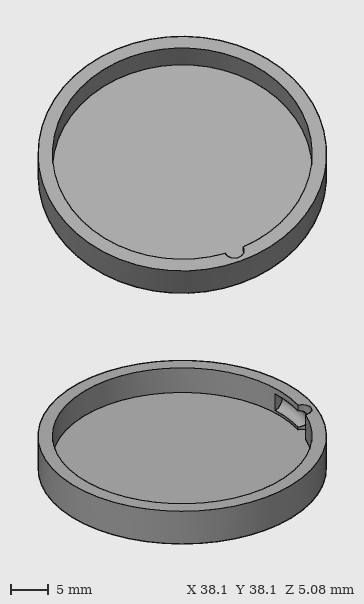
import cadquery as cq

outer_diameter = 38.1
total_height = 5.08
recess_diameter = 34.29
floor_thickness = 1.27

slot_radius = 1.27
groove_floor_gap = 0.381
groove_sweep_angle = 21.8

recess_radius = recess_diameter / 2
recess_depth = total_height - floor_thickness
groove_centre_height = floor_thickness + groove_floor_gap + slot_radius


def make_cup():
    """Round shallow cup, open at the top."""
    body = cq.Workplane("XY").circle(outer_diameter / 2).extrude(total_height)
    recess = (
        cq.Workplane("XY")
        .workplane(offset=floor_thickness)
        .circle(recess_radius)
        .extrude(recess_depth)
    )
    return body.cut(recess)


def make_entry_notch():
    """Vertical round notch on the +X side of the wall, from the rim to the floor."""
    return (
        cq.Workplane("XY")
        .workplane(offset=floor_thickness)
        .center(recess_radius, 0)
        .circle(slot_radius)
        .extrude(recess_depth)
    )


def make_locking_groove():
    """Round-section groove in the wall, turning from the notch towards +Y."""
    return (
        cq.Workplane("XZ")
        .center(recess_radius, groove_centre_height)
        .circle(slot_radius)
        .revolve(
            groove_sweep_angle,
            (-recess_radius, 0, 0),
            (-recess_radius, 1, 0),
        )
    )


result = make_cup().cut(make_entry_notch()).cut(make_locking_groove())